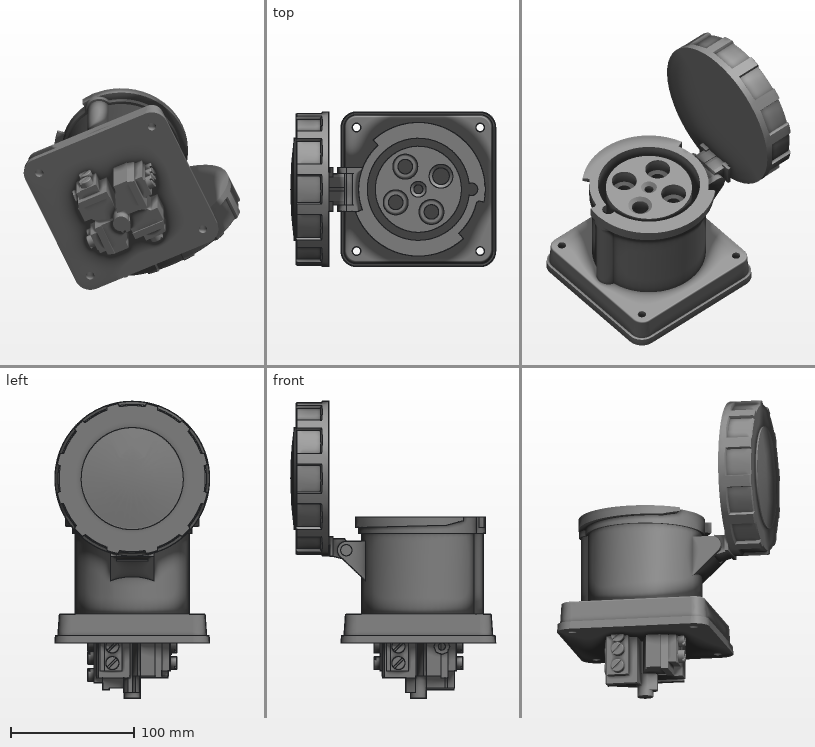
import cadquery as cq
import math


flange_width = 125.5
flange_height = 6.3
flange_corner = 12.8
plinth_inset = 2.5
plinth_top = 23.5
plinth_edge_fillet = 1.2
side_draft = 4.0
mount_hole_offset = 50.1
mount_hole_radius = 3.4

sleeve_radius = 46.3
key_center = 43.1
key_radius = 5.0
key_wall = 4.5
collar_bottom = 89.2
collar_top = 102.5
collar_step = 2.2
key_collar_step = 1.7
collar_radius = sleeve_radius + collar_step
lug_radius = 54.2
lug_bottom = 93.7
lug_spans = [(200, 312.5), (-11, 132.5)]
ramp_start = (23.0, 95.7)
ramp_end = (35.5, 99.0)

bore_radius = 41.5
insert_radius = 35.0
insert_top = 98.8
contact_circle = 21.2
power_angles = [120, 210, 300]
earth_angle = 30
power_hole_radius = 10.1
power_hole_depth = 11.8
contact_bore_radius = 5.9
contact_bore_depth = 36.2
earth_mouth_radius = 9.6
earth_bore_radius = 6.7
pilot_mouth_radius = 6.39
pilot_bore_radius = 3.5
mouth_depth = 2.5

block_inner = 2.0
block_outer = 29.5
block_face = 24.0
block_bottom = -26.8
core_half = 6.5
slab_inner = 18.5
slab_bottom = -28.2
slab_inset = 0.5
slab_bevel = 1.5
rear_wedge = [(-23.5, -core_half), (-21.7, -4.3), (-core_half, 0.7), (-core_half, -core_half)]
terminal_inner = 8.2
terminal_outer = 26.0
terminal_face = 30.4
terminal_bottom = -22.5
pad_outer = 22.7
pad_proud = 0.7
screw_offset = 16.1
screw_radius = 5.3
screw_head_end = 36.2
screw_levels = [-2.7, -16.1]
screw_slot_width = 1.7
screw_slot_depth = 1.7
screw_edge_fillet = 0.7
earth_drop = 9.6
earth_screw_levels = [-1.0, -11.8, -25.8]
earth_quarter = 2
post_radius = 6.5
post_bottom = -44.7
key_stub_outline = [(-2.5, 7.0), (-10.5, 3.5), (-10.5, 0), (-6.7, 0), (-10.1, -2.7), (-2.5, -6.3)]
key_stub_bottom = -40.0
nut_center = (19.0, -2.7)
nut_sides = 8
nut_width = 12.0
nut_bore_radius = 3.0
nut_height = 2.5

pin_x = -58.45
pin_z = 75.5
pin_radius = 4.5
bracket_half = 17.8
bracket_radius = 7.2
bracket_top = 82.78
bracket_foot_x = -42.78
bracket_foot_z = 50.5
bracket_root_x = -41.0
knuckle_half = 12.8
knuckle_radius = 7.5
knuckle_top = 84.95
knuckle_top_end = -60.0
knuckle_clearance = 1.5
knuckle_tip_z = 70.4
knuckle_bevel_width = 3.0
knuckle_bevel_drop = 0.6
knuckle_groove_width = 2.7
knuckle_groove_depth = 0.7
plate_back = -69.2
plate_thickness = 2.7
plate_bottom = 70.4
plate_top = 86.5
plate_bridge_bottom = 79.5
plate_bridge_end = 14.0

lid_center_z = 133.5
lid_radius = 62.78
lid_back = -72.65
lid_front = -99.3
lid_edge_chamfer = 1.0
disc_radius = 41.5
disc_front = -100.7
dome_radius = 40.5
dome_tip = -103.5
grip_count = 12
grip_mouth_half = 12.5
grip_mouth_end = -77.8
grip_wall_draft = 27.0
grip_floor_radius = 60.2
overcut = 2.5


def box(x0, x1, y0, y1, z0, z1):
    """Axis-aligned box between two corners, given as limits on each axis."""
    return cq.Workplane("XY").box(x1 - x0, y1 - y0, z1 - z0, centered=False).translate((x0, y0, z0))


def cylinder(radius, z0, z1, x=0.0, y=0.0):
    return cq.Workplane("XY", origin=(x, y, z0)).circle(radius).extrude(z1 - z0)


def y_cylinder(radius, half_length):
    """Cylinder on the hinge axis, symmetric about Y = 0."""
    return (
        cq.Workplane("XZ", origin=(pin_x, 0, pin_z)).circle(radius).extrude(half_length, both=True)
    )


def polar(radius, degrees):
    angle = math.radians(degrees)
    return radius * math.cos(angle), radius * math.sin(angle)


def about_z(body, degrees):
    return body.rotate((0, 0, 0), (0, 0, 1), degrees)


def rounded_block(width, corner, z0, z1):
    """Square block with round corners and drafted sides."""
    return (
        cq.Workplane("XY", origin=(0, 0, z0))
        .sketch().rect(width, width).vertices().fillet(corner).finalize()
        .extrude(z1 - z0, taper=side_draft)
    )


def mounting_base():
    base = rounded_block(flange_width, flange_corner, 0, flange_height)
    plinth = rounded_block(
        flange_width - 2 * plinth_inset, flange_corner - plinth_inset, flange_height, plinth_top
    )
    base = base.union(plinth.faces(">Z").edges().fillet(plinth_edge_fillet))
    holes = (
        cq.Workplane("XY")
        .rect(2 * mount_hole_offset, 2 * mount_hole_offset, forConstruction=True).vertices()
        .circle(mount_hole_radius).extrude(plinth_top)
    )
    return base.cut(holes)


def bayonet_lug(start, end, turn):
    """Collar sector whose underside rises towards its end; turn puts the ramp on its side."""
    sector = (
        cq.Workplane("XY", origin=(0, 0, lug_bottom))
        .lineTo(*polar(lug_radius, start))
        .threePointArc(polar(lug_radius, (start + end) / 2), polar(lug_radius, end))
        .close().extrude(collar_top - lug_bottom)
    )
    below_ramp = (
        cq.Workplane("XZ")
        .polyline([(-lug_radius, lug_bottom), ramp_start, ramp_end, (lug_radius, ramp_end[1]),
                   (lug_radius, lug_bottom - overcut), (-lug_radius, lug_bottom - overcut)])
        .close().extrude(lug_radius + overcut)
    )
    return sector.cut(about_z(below_ramp, turn))


def sleeve_and_collar():
    key_outer = key_radius + key_wall
    body = cylinder(sleeve_radius, flange_height, collar_top)
    body = body.union(cylinder(key_outer, flange_height, collar_top, key_center))
    body = body.union(cylinder(collar_radius, collar_bottom, collar_top))
    body = body.union(cylinder(key_outer + key_collar_step, collar_bottom, collar_top, key_center))
    for index, (start, end) in enumerate(lug_spans):
        body = body.union(bayonet_lug(start, end, 180 * index))
    return body


def socket_cavity():
    """Annular space around the insert, the key channel, and the space above the insert."""
    cavity = cylinder(bore_radius, plinth_top, collar_top)
    cavity = cavity.union(cylinder(key_radius, plinth_top, collar_top, key_center))
    return cavity.cut(cylinder(insert_radius, plinth_top, insert_top))


def countersunk_hole(mouth_radius, bore_radius, x, y):
    mouth = (
        cq.Workplane("XY", origin=(x, y, insert_top)).circle(mouth_radius)
        .workplane(offset=-mouth_depth).circle(bore_radius).loft()
    )
    return mouth.union(cylinder(bore_radius, insert_top - contact_bore_depth, insert_top, x, y))


def contact_holes():
    holes = countersunk_hole(pilot_mouth_radius, pilot_bore_radius, 0, 0)
    holes = holes.union(
        countersunk_hole(earth_mouth_radius, earth_bore_radius, *polar(contact_circle, earth_angle))
    )
    for angle in power_angles:
        x, y = polar(contact_circle, angle)
        holes = holes.union(cylinder(power_hole_radius, insert_top - power_hole_depth, insert_top, x, y))
        holes = holes.union(
            cylinder(contact_bore_radius, insert_top - contact_bore_depth, insert_top, x, y)
        )
    return holes


def terminal_screw(level):
    """Screw head facing -Y, with a diagonal slot."""
    length = screw_head_end - block_face
    head = (
        cq.Workplane("XZ", origin=(-screw_offset, -block_face, level))
        .circle(screw_radius).extrude(length)
        .faces("<Y").edges().fillet(screw_edge_fillet)
    )
    slot = (
        cq.Workplane("XZ", origin=(-screw_offset, -screw_head_end + screw_slot_depth, level))
        .transformed(rotate=(0, 0, 45))
        .rect(2 * screw_radius + overcut, screw_slot_width).extrude(screw_slot_depth + overcut)
    )
    return head.cut(slot)


def prism(outline, z0, z1):
    return cq.Workplane("XY", origin=(0, 0, z0)).polyline(outline).close().extrude(z1 - z0)


def terminal_block(drop, levels):
    """Block in the -X, -Y quarter with its terminal and screws facing -Y."""
    block = box(-block_outer, -block_inner, -slab_inner, -core_half, block_bottom - drop, flange_height)
    slab_outer = block_outer - slab_inset
    slab_outline = [(-block_inner, -slab_inner), (-slab_outer, -slab_inner),
                    (slab_bevel - slab_outer, -block_face), (-block_inner, -block_face)]
    block = block.union(prism(slab_outline, slab_bottom - drop, flange_height))
    block = block.union(prism(rear_wedge, block_bottom - drop, flange_height))
    terminal_end = terminal_bottom - drop
    block = block.union(box(-terminal_outer, -terminal_inner, -terminal_face, -block_face,
                            terminal_end, flange_height))
    block = block.union(box(-pad_outer, -terminal_inner, -terminal_face - pad_proud, -terminal_face,
                            terminal_end, flange_height))
    for level in levels:
        block = block.union(terminal_screw(level))
    return block


def pilot_post():
    """Round post on the axis with a faceted key stub on its -X side."""
    post = cylinder(post_radius, post_bottom, flange_height)
    return post.union(prism(key_stub_outline, key_stub_bottom, flange_height))


def clamp_nut():
    """Octagonal bush on the -Y side of the block in the +X, -Y quarter."""
    return (
        cq.Workplane("XZ", origin=(nut_center[0], -block_outer, nut_center[1]))
        .transformed(rotate=(0, 0, 180 / nut_sides))
        .polygon(nut_sides, nut_width, circumscribed=True)
        .extrude(nut_height)
        .faces("<Y").workplane().circle(nut_bore_radius).cutBlind(-nut_height)
    )


def terminal_group():
    group = box(-core_half, core_half, -core_half, core_half, block_bottom, flange_height)
    for quarter in range(4):
        if quarter == earth_quarter:
            block = terminal_block(earth_drop, earth_screw_levels)
        else:
            block = terminal_block(0, screw_levels)
        group = group.union(about_z(block, 90 * quarter))
    return group.union(clamp_nut()).union(pilot_post())


def hinge_bracket():
    """Wedge with a round nose about the pin, notched between its arms for the lid's knuckle."""
    reach = math.hypot(bracket_foot_x - pin_x, bracket_foot_z - pin_z)
    foot_angle = math.atan2(bracket_foot_z - pin_z, bracket_foot_x - pin_x)
    tangent_angle = foot_angle - math.acos(bracket_radius / reach)
    nose_x = pin_x + bracket_radius * math.cos(tangent_angle)
    nose_z = pin_z + bracket_radius * math.sin(tangent_angle)
    slope = (bracket_foot_z - nose_z) / (bracket_foot_x - nose_x)
    root_z = bracket_foot_z + slope * (bracket_root_x - bracket_foot_x)
    return (
        cq.Workplane("XZ")
        .moveTo(pin_x, pin_z + bracket_radius)
        .threePointArc((pin_x - bracket_radius, pin_z), (nose_x, nose_z))
        .lineTo(bracket_root_x, root_z).lineTo(bracket_root_x, bracket_top).lineTo(pin_x, bracket_top)
        .close().extrude(bracket_half, both=True)
    )


def knuckle_space():
    """Notch in which the knuckle turns, and the holes for the hinge pin."""
    notch = y_cylinder(knuckle_radius + knuckle_clearance, knuckle_half)
    return notch.union(y_cylinder(pin_radius, bracket_half))


def make_housing():
    housing = mounting_base().union(sleeve_and_collar())
    housing = housing.union(hinge_bracket())
    housing = housing.cut(socket_cavity()).cut(contact_holes())
    housing = housing.union(terminal_group())
    return housing.cut(knuckle_space())


def lid_revolve(profile, degrees):
    """Turn an X-radius profile about the lid's axis, which runs along X."""
    return profile.revolve(degrees, (0, 0, 0), (1, 0, 0)).translate((0, 0, lid_center_z))


def lid_cap():
    profile = (
        cq.Workplane("XZ")
        .moveTo(lid_back, 0).lineTo(lid_back, lid_radius)
        .lineTo(lid_front + lid_edge_chamfer, lid_radius)
        .lineTo(lid_front, lid_radius - lid_edge_chamfer)
        .lineTo(lid_front, disc_radius).lineTo(disc_front, disc_radius)
        .lineTo(disc_front, dome_radius).lineTo(disc_front, 0).close()
    )
    dome_height = disc_front - dome_tip
    sphere_radius = (dome_radius**2 + dome_height**2) / (2 * dome_height)
    half_way = math.asin(dome_radius / sphere_radius) / 2
    sphere_center = dome_tip + sphere_radius
    dome = (
        cq.Workplane("XZ")
        .moveTo(disc_front, 0).lineTo(disc_front, dome_radius)
        .threePointArc((sphere_center - sphere_radius * math.cos(half_way),
                        sphere_radius * math.sin(half_way)), (dome_tip, 0))
        .close()
    )
    return lid_revolve(profile, 360).union(lid_revolve(dome, 360))


def grip_recess():
    """Shallow finger recess at the top of the lid, open at its front, with sloping walls."""
    length = 2 * (grip_mouth_end - lid_front)
    pocket = (
        cq.Workplane("XY", origin=(lid_front, 0, lid_center_z + lid_radius))
        .rect(length, 2 * grip_mouth_half)
        .extrude(-2 * (lid_radius - grip_floor_radius), taper=grip_wall_draft)
    )
    floor = (
        cq.Workplane("YZ", origin=(lid_front, 0, lid_center_z))
        .circle(grip_floor_radius).extrude(lid_back - lid_front)
        .faces("<X").chamfer(lid_edge_chamfer)
    )
    return pocket.cut(floor).intersect(lid_slab())


def lid_slab():
    """Space behind the plane of the lid's front face."""
    return (
        cq.Workplane("YZ", origin=(lid_front, 0, lid_center_z))
        .circle(lid_radius + overcut).extrude(lid_back - lid_front)
    )


def about_lid_axis(body, degrees):
    return body.rotate((0, 0, lid_center_z), (1, 0, lid_center_z), degrees)


def knuckle():
    """Arm from the lid to the pin, with its top side edges bevelled."""
    drop = knuckle_tip_z - pin_z
    reach = math.hypot(plate_back - pin_x, drop)
    tip_angle = math.atan2(drop, plate_back - pin_x)
    tangent_angle = tip_angle + math.acos(knuckle_radius / reach)
    arm = (
        cq.Workplane("XZ")
        .moveTo(lid_back, knuckle_top).lineTo(knuckle_top_end, knuckle_top)
        .lineTo(pin_x, pin_z + knuckle_radius)
        .threePointArc((pin_x + knuckle_radius, pin_z),
                       (pin_x + knuckle_radius * math.cos(tangent_angle),
                        pin_z + knuckle_radius * math.sin(tangent_angle)))
        .lineTo(plate_back, knuckle_tip_z).lineTo(plate_back, plate_bridge_bottom)
        .lineTo(lid_back, plate_bridge_bottom).close()
        .extrude(knuckle_half, both=True)
    )
    flat_half = knuckle_half - knuckle_bevel_width
    for side in (-1, 1):
        bevel = (
            cq.Workplane("YZ", origin=(lid_back, 0, 0))
            .polyline([(side * flat_half, knuckle_top), (side * knuckle_half, knuckle_top),
                       (side * knuckle_half, knuckle_top - knuckle_bevel_drop)])
            .close().extrude(knuckle_top_end - lid_back)
        )
        arm = arm.cut(bevel)
    return arm


def hinge_plate():
    """Plate across the knuckle, lowered in the middle to the knuckle's flat top."""
    plate_front = plate_back - plate_thickness
    flat_half = knuckle_half - knuckle_bevel_width
    plate = box(plate_front, plate_back, -bracket_half, bracket_half, plate_bottom, plate_top)
    bridge = box(lid_back, plate_front, -bracket_half, plate_bridge_end, plate_bridge_bottom, plate_top)
    saddle = box(lid_back, plate_back, -flat_half, flat_half, knuckle_top, plate_top)
    return plate.union(bridge).cut(saddle)


def knuckle_groove():
    return box(lid_back, knuckle_top_end, -knuckle_groove_width / 2, knuckle_groove_width / 2,
               knuckle_top - knuckle_groove_depth, knuckle_top)


def make_lid():
    lid = lid_cap()
    for index in range(grip_count):
        lid = lid.cut(about_lid_axis(grip_recess(), index * 360 / grip_count))
    lid = lid.union(hinge_plate()).union(knuckle()).cut(knuckle_groove())
    return lid.union(y_cylinder(pin_radius, bracket_half))


housing = make_housing()
lid = make_lid()

result = cq.Compound.makeCompound([housing.val(), lid.val()])